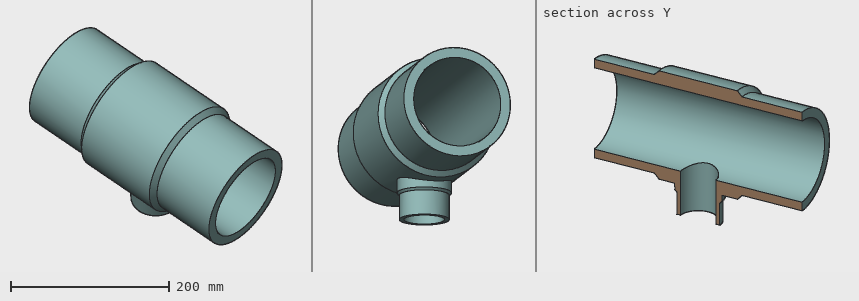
import cadquery as cq

pipe_length = 302.0
pipe_diameter = 140.0
bore_diameter = 114.5

sleeve_length = 127.7
sleeve_diameter = 154.0
sleeve_chamfer = (sleeve_diameter - pipe_diameter) / 2

total_height = 197.0
branch_reach = total_height - sleeve_diameter / 2
branch_diameter = 63.0
branch_bore_diameter = 51.3
collar_diameter = 69.2
collar_reach = 88.5
collar_chamfer = (collar_diameter - branch_diameter) / 2


def bar_along_x(diameter, length):
    """Solid round bar on the X axis, centred on the origin."""
    return cq.Workplane("YZ", origin=(-length / 2, 0, 0)).circle(diameter / 2).extrude(length)


def bar_downward(diameter, reach):
    """Solid round bar from the pipe axis straight down."""
    return cq.Workplane("XY").circle(diameter / 2).extrude(-reach)


pipe = bar_along_x(pipe_diameter, pipe_length)
sleeve = bar_along_x(sleeve_diameter, sleeve_length).faces("<X or >X").edges().chamfer(sleeve_chamfer)
branch = bar_downward(branch_diameter, branch_reach)
collar = bar_downward(collar_diameter, collar_reach).faces("<Z").edges().chamfer(collar_chamfer)

body = pipe.union(sleeve).union(branch).union(collar)
result = body.cut(bar_along_x(bore_diameter, pipe_length)).cut(
    bar_downward(branch_bore_diameter, branch_reach)
)